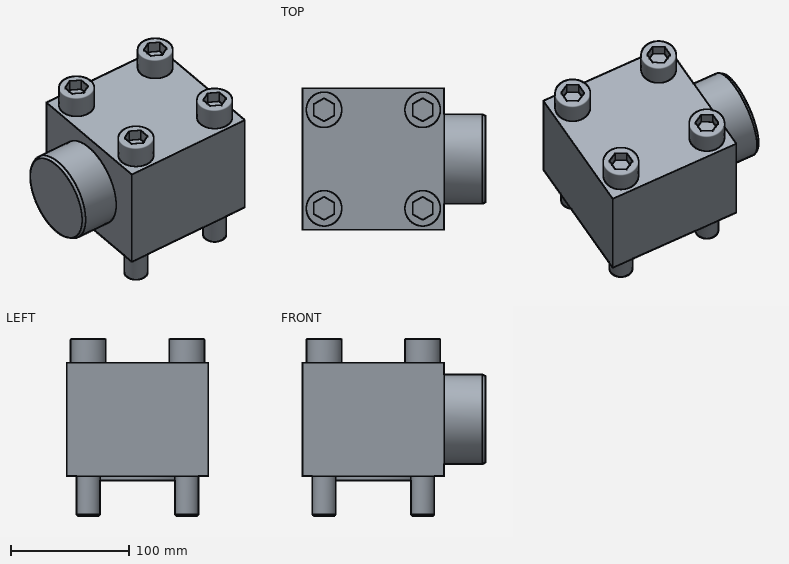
import cadquery as cq
import math

block_side = 120.0
block_height = 96.0

pipe_diameter = 76.1
pipe_length = 35.0
pipe_bevel_length = 2.6
pipe_bevel_angle = 30.0

spigot_diameter = 92.0
spigot_height = 4.0

bolt_circle_diameter = 118.0
screw_diameter = 20.0
head_diameter = 30.0
head_height = screw_diameter
screw_protrusion = 34.0
head_fillet = 1.0
tip_chamfer = 1.5
hex_across_flats = 17.0
hex_depth = 10.0

screw_pitch = bolt_circle_diameter / math.sqrt(2)
pipe_bevel_depth = pipe_bevel_length * math.tan(math.radians(pipe_bevel_angle))
hex_across_corners = hex_across_flats / math.cos(math.pi / 6)


def make_block():
    """Square block standing on Z = 0, centred on the Z axis."""
    return cq.Workplane("XY").box(block_side, block_side, block_height, centered=(True, True, False))


def make_pipe():
    """Round pipe stub leaving the middle of the +X face, bevelled at its free end."""
    return (
        cq.Workplane("YZ", origin=(block_side / 2, 0, block_height / 2))
        .circle(pipe_diameter / 2)
        .extrude(pipe_length)
        .faces(">X")
        .chamfer(pipe_bevel_length, pipe_bevel_depth)
    )


def make_spigot():
    """Shallow round spigot below the block."""
    return cq.Workplane("XY").circle(spigot_diameter / 2).extrude(-spigot_height)


def make_screw():
    """Screw on the Z axis: head above the block, shank through it and out below."""
    head = (
        cq.Workplane("XY", origin=(0, 0, block_height))
        .circle(head_diameter / 2)
        .extrude(head_height)
        .faces(">Z")
        .edges()
        .fillet(head_fillet)
    )
    shank = (
        cq.Workplane("XY", origin=(0, 0, block_height))
        .circle(screw_diameter / 2)
        .extrude(-(block_height + screw_protrusion))
        .faces("<Z")
        .chamfer(tip_chamfer)
    )
    socket = (
        cq.Workplane("XY", origin=(0, 0, block_height + head_height))
        .transformed(rotate=(0, 0, 90))
        .polygon(6, hex_across_corners)
        .extrude(-hex_depth)
    )
    return head.union(shank).cut(socket)


result = make_block().union(make_pipe()).union(make_spigot())

screw = make_screw()
for x_side in (-1, 1):
    for y_side in (-1, 1):
        screw_position = (x_side * screw_pitch / 2, y_side * screw_pitch / 2, 0)
        result = result.union(screw.translate(screw_position))